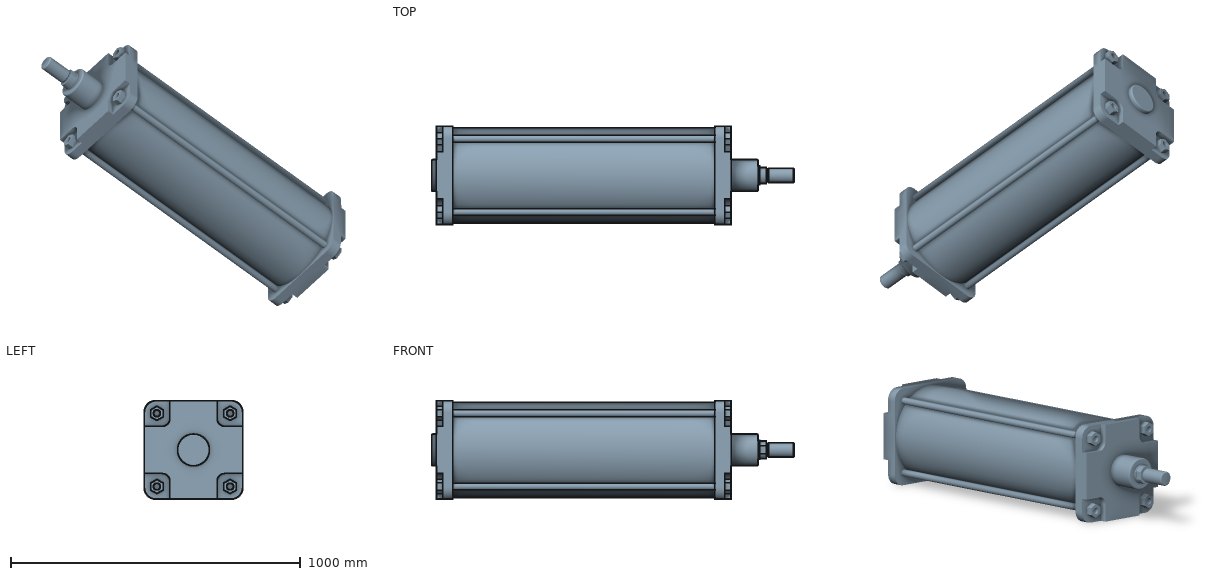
import cadquery as cq
import math


overall_length = 1252.0
rear_boss_length = 16.0
cap_thickness = 56.0
barrel_length = 905.0
front_neck_length = 93.0
rear_cap_inner_x = rear_boss_length + cap_thickness
front_cap_inner_x = rear_cap_inner_x + barrel_length
neck_end_x = front_cap_inner_x + cap_thickness + front_neck_length

cap_side = 340.0
cap_corner_radius = 40.0
corner_pocket_side = 89.0
corner_pocket_radius = 28.0
corner_pocket_depth = 23.0
boss_diameter = 110.0
boss_edge_radius = 5.0

barrel_diameter = 330.0

tie_rod_offset = 126.0
tie_rod_diameter = 24.0
nut_across_flats = 43.0
nut_socket_diameter = 23.0
nut_socket_depth = 20.0

rod_shoulder_x = 1155.0
collar_diameter = 65.0
collar_length = 6.0
wrench_diameter = 63.0
wrench_across_flats = 56.0
relief_length = 4.0
thread_diameter = 50.0
thread_chamfer = 4.0


def x_cylinder(start_x, length, diameter):
    """Cylinder along X, centred on the axis."""
    return cq.Workplane("YZ", origin=(start_x, 0, 0)).circle(diameter / 2).extrude(length)


def tie_rod_places():
    """(Y, Z) of the four tie rods."""
    return [(y_side * tie_rod_offset, z_side * tie_rod_offset) for y_side in (-1, 1) for z_side in (-1, 1)]


def make_cap(boss_length):
    """Square end cap with its inner face at X = 0 and its boss pointing along +X."""
    cap = (
        cq.Workplane("YZ")
        .rect(cap_side, cap_side)
        .extrude(cap_thickness)
        .edges("|X")
        .fillet(cap_corner_radius)
    )

    pockets = (
        cq.Workplane("YZ", origin=(cap_thickness - corner_pocket_depth, 0, 0))
        .rect(cap_side, cap_side, forConstruction=True)
        .vertices()
        .rect(2 * corner_pocket_side, 2 * corner_pocket_side)
        .extrude(corner_pocket_depth)
        .edges("|X")
        .fillet(corner_pocket_radius)
    )
    tie_rod_holes = (
        cq.Workplane("YZ").pushPoints(tie_rod_places()).circle(tie_rod_diameter / 2).extrude(cap_thickness)
    )
    boss = x_cylinder(cap_thickness, boss_length, boss_diameter).faces(">X").fillet(boss_edge_radius)
    return cap.cut(pockets).cut(tie_rod_holes).union(boss)


def make_barrel():
    """Plain round barrel between the inner faces of the caps."""
    return x_cylinder(rear_cap_inner_x, barrel_length, barrel_diameter)


def make_tie_rod(y, z):
    """Tie rod between the outer cap faces, with a socketed hexagon nut at each end."""
    rear_end_x = rear_cap_inner_x - cap_thickness
    front_end_x = front_cap_inner_x + cap_thickness
    rod = x_cylinder(rear_end_x, front_end_x - rear_end_x, tie_rod_diameter)
    nut_across_corners = nut_across_flats / math.cos(math.pi / 6)
    for nut_x in (rear_end_x, front_end_x - corner_pocket_depth):
        nut = (
            cq.Workplane("YZ", origin=(nut_x, 0, 0))
            .transformed(rotate=(0, 0, 90))
            .polygon(6, nut_across_corners)
            .extrude(corner_pocket_depth)
        )
        rod = rod.union(nut)
    for socket_x in (rear_end_x, front_end_x - nut_socket_depth):
        rod = rod.cut(x_cylinder(socket_x, nut_socket_depth, nut_socket_diameter))
    return rod.translate((0, y, z))


def make_piston_rod():
    """Piston rod end that stands on the neck of the front cap."""
    wrench_start_x = neck_end_x + collar_length
    wrench_length = rod_shoulder_x - wrench_start_x
    flats = (
        cq.Workplane("YZ", origin=(wrench_start_x, 0, 0))
        .rect(wrench_across_flats, wrench_diameter)
        .extrude(wrench_length)
    )
    wrench_section = x_cylinder(wrench_start_x, wrench_length, wrench_diameter).intersect(flats)
    collar = x_cylinder(neck_end_x, collar_length, collar_diameter)

    relief_end_x = rod_shoulder_x + relief_length
    relief = x_cylinder(rod_shoulder_x, relief_length, thread_diameter - 2 * thread_chamfer)
    thread = (
        x_cylinder(relief_end_x, overall_length - relief_end_x, thread_diameter)
        .faces("<X or >X")
        .chamfer(thread_chamfer)
    )
    return collar.union(wrench_section).union(relief).union(thread)


rear_cap = make_cap(rear_boss_length).rotate((0, 0, 0), (0, 0, 1), 180).translate((rear_cap_inner_x, 0, 0))
front_cap = make_cap(front_neck_length).translate((front_cap_inner_x, 0, 0))
barrel = make_barrel()
tie_rods = [make_tie_rod(y, z) for y, z in tie_rod_places()]
piston_rod = make_piston_rod()

result = cq.Compound.makeCompound(
    [rear_cap.val(), front_cap.val(), barrel.val(), piston_rod.val(), *[rod.val() for rod in tie_rods]]
)